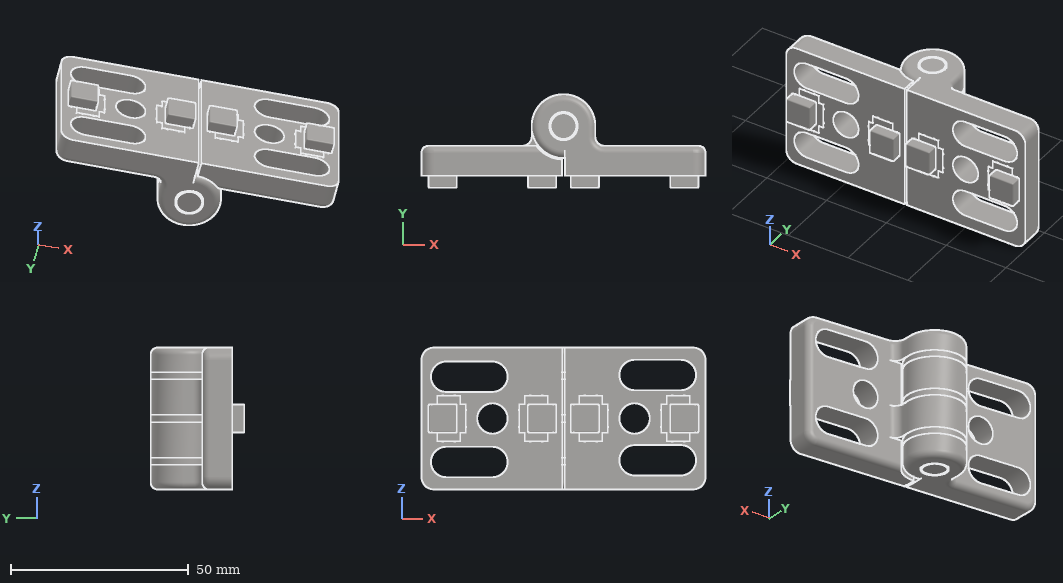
import cadquery as cq
import math

hinge_width = 80.0
hinge_length = 40.0
hinge_depth = 26.4
leaf_gap = 0.7

leaf_thickness = 8.5
corner_radius = 3.5
edge_radius = 2.0
web_radius = 2.5

barrel_diameter = 18.0
axis_height = 14.0
clearance_radius = 9.4
washer_thickness = 2.0
washer_count = 3
knuckle_length = 10.0
pin_diameter = 8.0
pin_chamfer = 0.4

hole_diameter = 8.5
slot_travel = 13.0
slot_spacing = 24.0
slot_shift = 0.2

block_size = 8.0
block_edge_radius = 0.4
block_offset = 14.0
plug_offset = 12.3
plug_arm_x_length = 9.5
plug_arm_z_length = 12.9
plug_arm_z_width = 6.6
rib_radius = 0.2
rib_pitch_x = 3.4
rib_pitch_z = 4.8

half_length = hinge_length / 2
half_gap = leaf_gap / 2
barrel_radius = barrel_diameter / 2
leaf_width = (hinge_width - leaf_gap) / 2
leaf_middle_x = -hinge_width / 4
lug_height = hinge_depth - axis_height - barrel_radius
plug_depth = lug_height
end_knuckle_length = (hinge_length - 2 * knuckle_length - washer_count * washer_thickness) / 2
knuckle_pitch = knuckle_length + washer_thickness
end_knuckle_top = -half_length + end_knuckle_length
middle_knuckle_bottom = end_knuckle_top + washer_thickness + knuckle_pitch


def axis_cylinder(radius, bottom, length):
    """Cylinder around the hinge axis, starting at z = bottom."""
    return cq.Workplane("XY", origin=(0, axis_height, bottom)).circle(radius).extrude(length)


def box_between(x_range, y_range, z_range):
    """Box given by its lower and upper limits on each axis."""
    spans = [high - low for low, high in (x_range, y_range, z_range)]
    return cq.Workplane("XY", origin=(x_range[0], y_range[0], z_range[0])).box(*spans, centered=False)


def turn_to_other_leaf(body):
    """Half turn about Y: moves a body of the left leaf to its place on the right leaf."""
    return body.rotate((0, 0, 0), (0, 1, 0), 180)


def make_plate():
    """Flat left leaf with rounded outer corners, a rounded back rim and a trough for the barrel."""
    plate = box_between((-half_gap - leaf_width, -half_gap), (0, leaf_thickness), (-half_length, half_length))
    plate = plate.edges("|Y and <X").fillet(corner_radius)
    plate = plate.faces(">Y").edges("not(>X)").fillet(edge_radius)
    return plate.cut(axis_cylinder(clearance_radius, -half_length, hinge_length))


def make_web(bottom, length):
    """Foot that blends a knuckle into the plate with a concave radius."""
    blend_height = leaf_thickness + web_radius
    arc_drop = web_radius * (1 - math.sqrt(0.5))
    return (
        cq.Workplane("XY", origin=(0, 0, bottom))
        .moveTo(-half_gap, 0)
        .lineTo(-half_gap, axis_height)
        .lineTo(-barrel_radius, axis_height)
        .lineTo(-barrel_radius, blend_height)
        .threePointArc(
            (-barrel_radius - arc_drop, leaf_thickness + arc_drop),
            (-barrel_radius - web_radius, leaf_thickness),
        )
        .lineTo(-barrel_radius - web_radius, 0)
        .close()
        .extrude(length)
    )


def make_end_knuckle():
    """Knuckle at the end of the leaf, with its outline rounded on the end face."""
    barrel = axis_cylinder(barrel_radius, -half_length, end_knuckle_length)
    barrel = barrel.faces("<Z").edges().fillet(edge_radius)
    web = make_web(-half_length, end_knuckle_length)
    web = web.faces("<Z").edges("%CIRCLE").fillet(edge_radius)
    return barrel.union(web)


def make_middle_knuckle():
    """Square-ended knuckle between two washers."""
    barrel = axis_cylinder(barrel_radius, middle_knuckle_bottom, knuckle_length)
    return barrel.union(make_web(middle_knuckle_bottom, knuckle_length))


def cut_mounting_holes(leaf):
    """Round hole in the middle of the leaf and a slot on either side of it."""
    face = cq.Workplane("XZ", origin=(leaf_middle_x, 0, 0))
    hole = face.circle(hole_diameter / 2).extrude(-leaf_thickness)
    slots = (
        face.pushPoints([(-slot_travel / 2, side * slot_spacing / 2 - slot_shift) for side in (-1, 1)])
        .slot2D(slot_travel + hole_diameter, hole_diameter)
        .extrude(-leaf_thickness)
    )
    return leaf.cut(hole).cut(slots)


def make_lug(side):
    """Lug on one side (-1 or 1) of the left leaf's middle hole, with small grip ribs on the plug ends."""
    block_x = leaf_middle_x + side * block_offset
    plug_x = leaf_middle_x + side * plug_offset
    half_block = block_size / 2
    block = box_between(
        (block_x - half_block, block_x + half_block), (-lug_height, 0), (-half_block, half_block)
    )
    block = block.edges("|Y or <Y").fillet(block_edge_radius)

    face = cq.Workplane("XZ", origin=(plug_x, 0, 0))
    plug = face.rect(plug_arm_x_length, block_size).extrude(-plug_depth)
    plug = plug.union(face.rect(plug_arm_z_width, plug_arm_z_length).extrude(-plug_depth))
    end_ribs = face.rect(rib_pitch_x, plug_arm_z_length, forConstruction=True).vertices()
    end_ribs = end_ribs.circle(rib_radius).extrude(-plug_depth)
    inner_end_x = -side * plug_arm_x_length / 2
    inner_ribs = face.pushPoints([(inner_end_x, rib_side * rib_pitch_z / 2) for rib_side in (-1, 1)])
    inner_ribs = inner_ribs.circle(rib_radius).extrude(-plug_depth)
    return plug.union(end_ribs).union(inner_ribs).union(block)


def make_leaf(lugs):
    """Left leaf with its knuckles, bore, mounting holes and recesses for the lugs."""
    leaf = make_plate().union(make_end_knuckle()).union(make_middle_knuckle())
    leaf = leaf.cut(axis_cylinder(pin_diameter / 2, -half_length, hinge_length))
    leaf = cut_mounting_holes(leaf)
    for lug in lugs:
        leaf = leaf.cut(lug)
    return leaf


def make_washer(index):
    """Spacer ring between two knuckles, counted from the bottom."""
    bottom = end_knuckle_top + index * knuckle_pitch
    washer = axis_cylinder(barrel_radius, bottom, washer_thickness)
    return washer.cut(axis_cylinder(pin_diameter / 2, bottom, washer_thickness))


left_lugs = [make_lug(side) for side in (-1, 1)]
right_lugs = [turn_to_other_leaf(lug) for lug in left_lugs]
left_leaf = make_leaf(left_lugs)
right_leaf = turn_to_other_leaf(left_leaf)
washers = [make_washer(index) for index in range(washer_count)]
pin = axis_cylinder(pin_diameter / 2, -half_length, hinge_length).edges().chamfer(pin_chamfer)

bodies = [left_leaf, right_leaf, pin, *washers, *left_lugs, *right_lugs]
result = cq.Compound.makeCompound([body.val() for body in bodies])